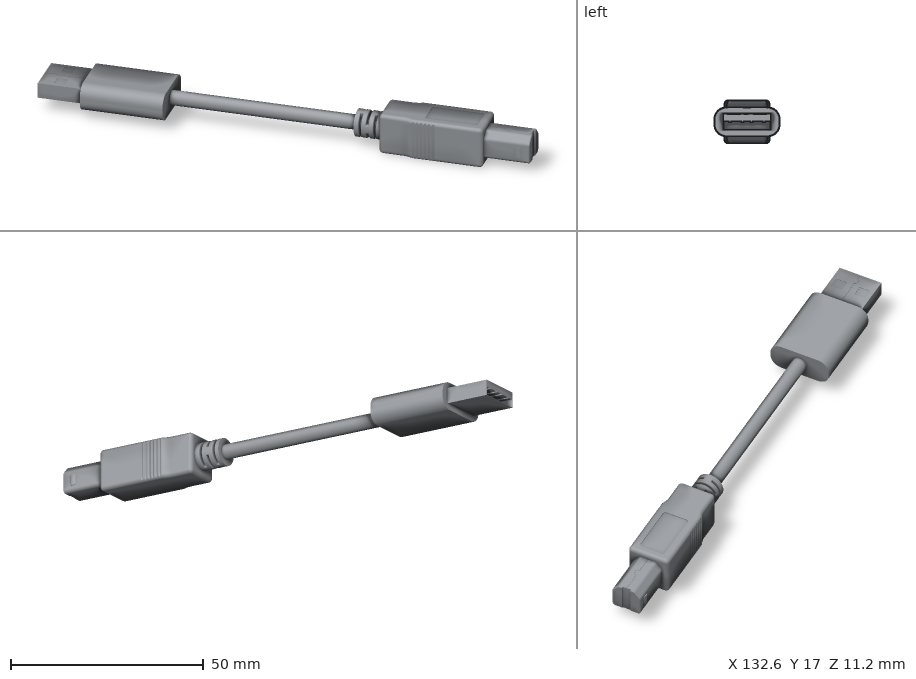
import cadquery as cq
import math

a_shell_length = 12.1
a_housing_length = 22.4
a_housing_end = a_shell_length + a_housing_length
relief_start = 84.8
b_housing_start = 92.1
b_housing_length = 28.2
b_housing_end = b_housing_start + b_housing_length
total_length = 132.6

overlap = 0.5
tolerance = 0.001

a_shell_width = 12.2
a_shell_height = 4.2
a_shell_wall = 0.1
tongue_underside = 0.2
contact_offsets = (-4.4, -1.2, 1.2, 4.4)
contact_width = 0.6
contact_thickness = 0.25
window_start = 4.0
window_length = 3.0
window_width = 3.2
window_offset = 3.4
a_housing_width = 17.0
a_housing_height = 7.5
a_housing_radius = 3.15

seam_width = 0.3
seam_depth = 0.08
a_seam_jog = 0.6
a_seam_slant = 0.4
a_dovetail_start = 1.6
a_dovetail_length = 1.8
a_seam_end_step = 9.9
a_seam_end = 11.3
b_seam_jog = -0.8
b_seam_slant = 0.2
b_dovetail_start = 124.8
b_dovetail_length = 2.0

cable_diameter = 4.0
relief_diameter = 7.4
slot_width = 0.7
slot_pitch = 2.0
first_slot = relief_start + 1.6
slot_count = 3
slot_web_width = 2.3
slot_lip_radius = 0.25

b_housing_width = 11.7
b_housing_height = 11.2
b_housing_radius = 1.0
neck_width = 10.4
neck_end = 98.5
ramp_end = 101.0
grip_groove_count = 6
grip_groove_radius = 0.5
grip_groove_depth = 0.2
grip_pitch = 1.1
label_start = 104.1
label_length = 14.2
label_width = 7.2
label_radius = 0.8
label_depth = 0.2

b_shell_width = 8.2
b_shell_top = 3.95
b_shell_bottom = -3.5
b_shell_chamfer = 1.85
b_shell_radius = 1.1
b_bottom_radius = 0.9
tip_chamfer = 0.2
tip_notch_width = 2.4
tip_notch_depth = 0.4
bump_center = 129.6
bump_level = -0.4
bump_length = 1.7
bump_height = 2.9
bump_thickness = 0.25
bump_corner_radius = 0.6


def box(x_start, x_end, y_start, y_end, z_start, z_end):
    """Axis-aligned block between the given limits."""
    size = (x_end - x_start, y_end - y_start, z_end - z_start)
    return cq.Workplane("XY").box(*size, centered=False).translate((x_start, y_start, z_start))


def rod(x_start, x_end, diameter):
    """Round bar along the cable axis."""
    return cq.Workplane("YZ", origin=(x_start, 0, 0)).circle(diameter / 2).extrude(x_end - x_start)


def seam(points, surface_height):
    """Narrow groove that follows a stepped path in a flat top face."""
    half = seam_width / 2
    one_side = [(x, y + half) for x, y in points]
    other_side = [(x, y - half) for x, y in reversed(points)]
    outline = cq.Workplane("XY", origin=(0, 0, surface_height)).polyline(one_side + other_side).close()
    return outline.extrude(-seam_depth)


def a_shell():
    half_width = a_shell_width / 2
    half_height = a_shell_height / 2
    shell = box(0, a_shell_length + overlap, -half_width, half_width, -half_height, half_height)

    inner_half_width = half_width - a_shell_wall
    opening = box(0, a_shell_length, -inner_half_width, inner_half_width,
                  -half_height + a_shell_wall, tongue_underside)
    shell = shell.cut(opening)
    for y in contact_offsets:
        contact = box(0, a_shell_length + overlap, y - contact_width / 2, y + contact_width / 2,
                      tongue_underside - contact_thickness, tongue_underside)
        shell = shell.union(contact)

    for y in (-window_offset, window_offset):
        window = box(window_start, window_start + window_length, y - window_width / 2, y + window_width / 2,
                     half_height - a_shell_wall, half_height)
        shell = shell.cut(window)

    dovetail_end = a_dovetail_start + a_dovetail_length
    seam_path = [
        (0, 0),
        (a_dovetail_start, 0),
        (a_dovetail_start + a_seam_slant, a_seam_jog),
        (dovetail_end - a_seam_slant, a_seam_jog),
        (dovetail_end, 0),
        (a_seam_end_step, 0),
        (a_seam_end_step + a_seam_slant, a_seam_jog),
        (a_seam_end, a_seam_jog),
    ]
    return shell.cut(seam(seam_path, half_height))


def a_housing():
    return (
        cq.Workplane("YZ", origin=(a_shell_length, 0, 0))
        .rect(a_housing_width, a_housing_height)
        .extrude(a_housing_length)
        .edges("|X")
        .fillet(a_housing_radius)
    )


def is_slot_lip(edge):
    """True for an edge where a slot breaks out of the round surface of the strain relief."""
    middle = edge.positionAt(0.5)
    on_surface = math.isclose(math.hypot(middle.y, middle.z), relief_diameter / 2, abs_tol=tolerance)
    at_end = middle.x < relief_start + tolerance or middle.x > b_housing_start
    return on_surface and not at_end


def strain_relief():
    relief = rod(relief_start, b_housing_start + overlap, relief_diameter)
    radius = relief_diameter / 2
    for index in range(slot_count):
        x = first_slot + index * slot_pitch
        x_start = x - slot_width / 2
        x_end = x + slot_width / 2
        slot = box(x_start, x_end, -radius, radius, -radius, radius)
        web = box(x_start, x_end, -slot_web_width / 2, slot_web_width / 2, -radius, radius)
        slot = slot.cut(web)
        if index % 2 == 1:
            slot = slot.rotate((0, 0, 0), (1, 0, 0), 90)
        relief = relief.cut(slot)
    return relief.edges().filter(is_slot_lip).fillet(slot_lip_radius)


def ramp_bulge():
    """Half-width midway along a ramp that leaves the neck tangentially as a circular arc."""
    run = ramp_end - neck_end
    rise = (b_housing_width - neck_width) / 2
    arc_radius = (run ** 2 + rise ** 2) / (2 * rise)
    half_angle = math.asin(run / arc_radius) / 2
    return (
        neck_end + arc_radius * math.sin(half_angle),
        neck_width / 2 + arc_radius * (1 - math.cos(half_angle)),
    )


def b_housing():
    half_neck = neck_width / 2
    half_width = b_housing_width / 2
    ramp_x, ramp_y = ramp_bulge()
    housing = (
        cq.Workplane("XY", origin=(0, 0, -b_housing_height / 2))
        .moveTo(b_housing_start, -half_neck)
        .lineTo(neck_end, -half_neck)
        .threePointArc((ramp_x, -ramp_y), (ramp_end, -half_width))
        .lineTo(b_housing_end, -half_width)
        .lineTo(b_housing_end, half_width)
        .lineTo(ramp_end, half_width)
        .threePointArc((ramp_x, ramp_y), (neck_end, half_neck))
        .lineTo(b_housing_start, half_neck)
        .close()
        .extrude(b_housing_height)
    )
    housing = housing.edges("|Z and (<X or >X)").fillet(b_housing_radius)
    housing = housing.faces("<Z or >Z").edges().fillet(b_housing_radius)

    axis_y = half_width + grip_groove_radius - grip_groove_depth
    for index in range(grip_groove_count):
        x = ramp_end + (index + 0.5) * grip_pitch
        for y in (-axis_y, axis_y):
            groove = (
                cq.Workplane("XY", origin=(x, y, -b_housing_height / 2))
                .circle(grip_groove_radius)
                .extrude(b_housing_height)
            )
            housing = housing.cut(groove)

    label = (
        cq.Workplane("XY", origin=(label_start + label_length / 2, 0, b_housing_height / 2))
        .rect(label_length, label_width)
        .extrude(-label_depth)
        .edges("|Z")
        .fillet(label_radius)
    )
    return housing.cut(label)


def side_bump(side):
    """Low bump, curved along the shell and rounded at its corners; side is -1 or 1 along Y."""
    base_y = side * b_shell_width / 2
    half_length = bump_length / 2
    root_y = base_y - side * overlap
    curved = (
        cq.Workplane("XY", origin=(bump_center, 0, bump_level - bump_height / 2))
        .moveTo(-half_length, base_y)
        .threePointArc((0, base_y + side * bump_thickness), (half_length, base_y))
        .lineTo(half_length, root_y)
        .lineTo(-half_length, root_y)
        .close()
        .extrude(bump_height)
    )
    footprint = (
        cq.Workplane("XY")
        .box(bump_length, b_shell_width, bump_height)
        .edges("|Y")
        .fillet(bump_corner_radius)
        .translate((bump_center, base_y, bump_level))
    )
    return curved.intersect(footprint)


def b_shell():
    start = b_housing_end - overlap
    half_width = b_shell_width / 2
    shell = box(start, total_length, -half_width, half_width, b_shell_bottom, b_shell_top)
    shell = shell.edges("|X and <Z").fillet(b_bottom_radius)
    shell = shell.edges("|X and >Z").chamfer(b_shell_chamfer)
    upper_start = (start, -b_shell_width, 0)
    upper_end = (total_length, b_shell_width, b_shell_width)
    above_middle = cq.selectors.BoxSelector(upper_start, upper_end)
    shell = shell.edges(above_middle).edges("|X").fillet(b_shell_radius)
    shell = shell.faces(">X").edges().chamfer(tip_chamfer)

    notch = box(total_length - tip_notch_depth, total_length, -tip_notch_width / 2, tip_notch_width / 2,
                b_shell_bottom, b_shell_top)
    shell = shell.cut(notch)

    dovetail_end = b_dovetail_start + b_dovetail_length
    seam_path = [
        (b_housing_end, 0),
        (b_dovetail_start, 0),
        (b_dovetail_start + b_seam_slant, b_seam_jog),
        (dovetail_end - b_seam_slant, b_seam_jog),
        (dovetail_end, 0),
        (total_length, 0),
    ]
    shell = shell.cut(seam(seam_path, b_shell_top))

    for side in (-1, 1):
        shell = shell.union(side_bump(side))
    return shell


cable = rod(a_housing_end - overlap, b_housing_start, cable_diameter)
a_plug_with_cable = a_shell().union(a_housing()).union(cable)

cable_bore = rod(relief_start, b_housing_start, cable_diameter)
b_plug = b_housing().union(strain_relief()).union(b_shell()).cut(cable_bore)

result = cq.Compound.makeCompound([a_plug_with_cable.val(), b_plug.val()])